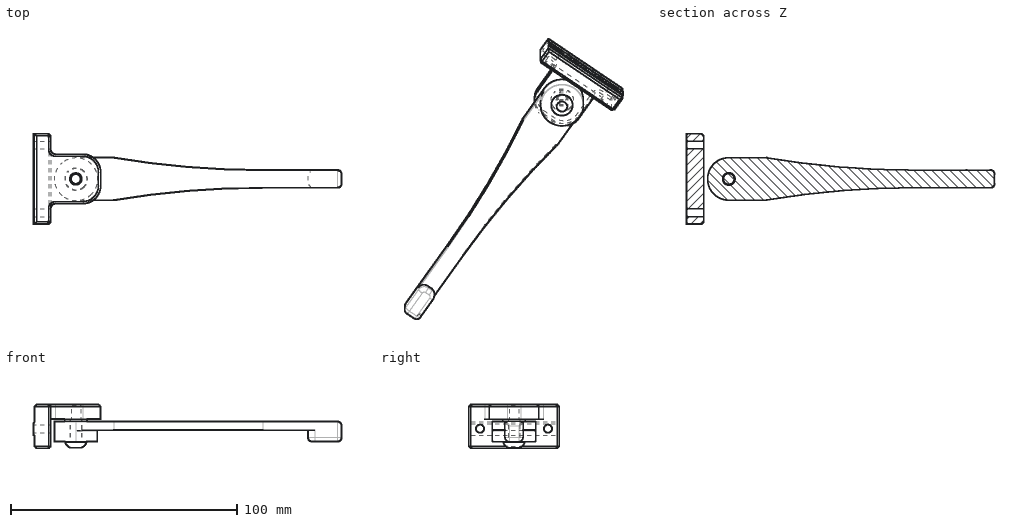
import cadquery as cq
import math


PLATE_BACK_X = -18.3
PLATE_FRONT_X = -11.0
PLATE_LENGTH = 40.0
PLATE_HEIGHT = 19.5
ARM_END_X = 11.0
ARM_WIDTH = 22.0
ARM_THICKNESS = 6.5
ARM_CORNER_RADIUS = 8.0
ARM_ROOT_RADIUS = 2.0
BRACKET_CHAMFER = 1.0
RIB_HEIGHT = 0.5
RIB_WIDTH = 6.0
RIB_SLOPE_WIDTH = 0.8
RIB_CENTRE_Z = -10.75
MOUNT_HOLE_DIAMETER = 3.5
MOUNT_HOLE_SPACING = 30.0

SHANK_DIAMETER = 5.0
THREAD_DIAMETER = 4.2
SCREW_HEAD_DIAMETER = 9.5
SCREW_HEAD_FLAT_DIAMETER = 4.6
SCREW_HEAD_HEIGHT = 2.75
SCREW_HEAD_RIM_HEIGHT = 0.3
SCREW_HEAD_BULGE = 0.4
THREAD_RIM_DIAMETER = 5.3
WASHER_DIAMETER = 10.0
CLEARANCE_BORE = 5.3
WASHER_THICKNESS = 1.0

BOSS_DIAMETER = 19.0
BOSS_HEIGHT = 9.0
BLADE_THICKNESS = 4.0
TAPER_START_X = 16.75
TAPER_END_X = 82.5
TIP_X = 117.5
TIP_WIDTH = 8.0
TIP_RADIUS = 2.0
LEVER_EDGE_RADIUS = 0.2
FOOT_LENGTH = 15.0
FOOT_BACK_RADIUS = 3.0
FOOT_BOTTOM_RADIUS = 2.0

PICK_MARGIN = 0.1

THREAD_RIM_DEPTH = (THREAD_RIM_DIAMETER - THREAD_DIAMETER) / 2
LEVER_TOP_Z = -ARM_THICKNESS - WASHER_THICKNESS
BLADE_BOTTOM_Z = LEVER_TOP_Z - BLADE_THICKNESS
LEVER_BOTTOM_Z = LEVER_TOP_Z - BOSS_HEIGHT


def make_bracket():
    plate_depth = PLATE_FRONT_X - PLATE_BACK_X
    plate = (
        cq.Workplane("XY")
        .box(plate_depth, PLATE_LENGTH, PLATE_HEIGHT, centered=(False, True, False))
        .translate((PLATE_BACK_X, 0, -PLATE_HEIGHT))
    )
    arm_length = ARM_END_X - PLATE_BACK_X
    arm = (
        cq.Workplane("XY")
        .box(arm_length, ARM_WIDTH, ARM_THICKNESS, centered=(False, True, False))
        .translate((PLATE_BACK_X, 0, -ARM_THICKNESS))
        .edges("|Z and >X")
        .fillet(ARM_CORNER_RADIUS)
    )
    body = plate.union(arm)

    half_arm = ARM_WIDTH / 2
    near_roots = cq.selectors.BoxSelector(
        (PLATE_FRONT_X - PICK_MARGIN, -half_arm - PICK_MARGIN, -ARM_THICKNESS),
        (PLATE_FRONT_X + PICK_MARGIN, half_arm + PICK_MARGIN, 0),
    )
    body = body.edges("|Z").edges(near_roots).fillet(ARM_ROOT_RADIUS)

    half_length = PLATE_LENGTH / 2
    for end in (-1, 1):
        corner_y = end * half_length
        near_front_corner = cq.selectors.BoxSelector(
            (PLATE_FRONT_X - PICK_MARGIN, corner_y - PICK_MARGIN, -PLATE_HEIGHT),
            (PLATE_FRONT_X + PICK_MARGIN, corner_y + PICK_MARGIN, 0),
        )
        body = body.edges("|Z").edges(near_front_corner).chamfer(BRACKET_CHAMFER)
    body = body.faces(">Z or <Z").edges().chamfer(BRACKET_CHAMFER)

    rib_top = RIB_CENTRE_Z + RIB_WIDTH / 2
    rib_bottom = RIB_CENTRE_Z - RIB_WIDTH / 2
    rib_back_x = PLATE_BACK_X - RIB_HEIGHT
    rib = (
        cq.Workplane("XZ")
        .moveTo(PLATE_BACK_X, rib_top)
        .lineTo(rib_back_x, rib_top - RIB_SLOPE_WIDTH)
        .lineTo(rib_back_x, rib_bottom)
        .lineTo(PLATE_BACK_X, rib_bottom)
        .close()
        .extrude(PLATE_LENGTH / 2, both=True)
    )
    body = body.union(rib)

    mount_holes = (
        cq.Workplane("YZ", origin=(rib_back_x, 0, RIB_CENTRE_Z))
        .pushPoints([(side * MOUNT_HOLE_SPACING / 2, 0) for side in (-1, 1)])
        .circle(MOUNT_HOLE_DIAMETER / 2)
        .extrude(plate_depth + RIB_HEIGHT)
    )

    thread_hole = cq.Workplane("XY").circle(THREAD_DIAMETER / 2).extrude(-ARM_THICKNESS)
    thread_rim = cq.Workplane(
        cq.Solid.makeCone(
            THREAD_DIAMETER / 2,
            THREAD_RIM_DIAMETER / 2,
            THREAD_RIM_DEPTH,
            pnt=cq.Vector(0, 0, -THREAD_RIM_DEPTH),
        )
    )
    return body.cut(mount_holes).cut(thread_hole).cut(thread_rim)


def make_lever():
    half_tip = TIP_WIDTH / 2
    half_root = BOSS_DIAMETER / 2
    foot_back_x = TIP_X - FOOT_LENGTH
    foot_depth = BOSS_HEIGHT - BLADE_THICKNESS

    taper_length = TAPER_END_X - TAPER_START_X
    taper_drop = half_root - half_tip
    taper_radius = (taper_length**2 + taper_drop**2) / (2 * taper_drop)
    taper_middle_x = (TAPER_START_X + TAPER_END_X) / 2
    taper_middle_y = half_tip + taper_radius - math.sqrt(taper_radius**2 - (taper_length / 2) ** 2)
    body = (
        cq.Workplane("XY", origin=(0, 0, LEVER_TOP_Z))
        .moveTo(0, half_root)
        .lineTo(TAPER_START_X, half_root)
        .threePointArc((taper_middle_x, taper_middle_y), (TAPER_END_X, half_tip))
        .lineTo(TIP_X, half_tip)
        .lineTo(TIP_X, -half_tip)
        .lineTo(TAPER_END_X, -half_tip)
        .threePointArc((taper_middle_x, -taper_middle_y), (TAPER_START_X, -half_root))
        .lineTo(0, -half_root)
        .threePointArc((-half_root, 0), (0, half_root))
        .close()
        .extrude(-BOSS_HEIGHT)
    )

    boss = cq.Workplane("XY", origin=(0, 0, BLADE_BOTTOM_Z)).circle(half_root).extrude(-foot_depth)
    foot = (
        cq.Workplane("XY")
        .box(FOOT_LENGTH, TIP_WIDTH, foot_depth, centered=(False, True, False))
        .translate((foot_back_x, 0, LEVER_BOTTOM_Z))
        .edges("|Z and <X")
        .fillet(FOOT_BACK_RADIUS)
    )
    space = (
        cq.Workplane("XY")
        .box(foot_back_x + FOOT_BACK_RADIUS, BOSS_DIAMETER, foot_depth, centered=(False, True, False))
        .translate((0, 0, LEVER_BOTTOM_Z))
        .cut(boss)
        .cut(foot)
    )
    body = body.cut(space)

    body = body.faces(">Z").edges("not >X").fillet(LEVER_EDGE_RADIUS)
    near_boss_bottom = cq.selectors.BoxSelector(
        (-half_root - PICK_MARGIN, -half_root - PICK_MARGIN, LEVER_BOTTOM_Z - PICK_MARGIN),
        (half_root + PICK_MARGIN, half_root + PICK_MARGIN, LEVER_BOTTOM_Z + PICK_MARGIN),
    )
    body = body.edges(near_boss_bottom).fillet(LEVER_EDGE_RADIUS)
    near_blade_bottom = cq.selectors.BoxSelector(
        (0, -half_root - PICK_MARGIN, BLADE_BOTTOM_Z - PICK_MARGIN),
        (foot_back_x, half_root + PICK_MARGIN, BLADE_BOTTOM_Z + PICK_MARGIN),
    )
    body = body.edges(near_blade_bottom).fillet(LEVER_EDGE_RADIUS)

    body = body.edges("|Z and >X").fillet(TIP_RADIUS)
    near_foot_bottom = cq.selectors.BoxSelector(
        (foot_back_x - PICK_MARGIN, -half_tip - PICK_MARGIN, LEVER_BOTTOM_Z - PICK_MARGIN),
        (TIP_X + PICK_MARGIN, half_tip + PICK_MARGIN, LEVER_BOTTOM_Z + PICK_MARGIN),
    )
    body = body.edges(near_foot_bottom).fillet(FOOT_BOTTOM_RADIUS)
    end_waste = (
        cq.Workplane("XZ", origin=(TIP_X, 0, LEVER_TOP_Z))
        .moveTo(-TIP_RADIUS, 0)
        .radiusArc((0, -TIP_RADIUS), TIP_RADIUS)
        .lineTo(0, 0)
        .close()
        .extrude(half_tip, both=True)
    )
    body = body.cut(end_waste)

    hole = cq.Workplane("XY", origin=(0, 0, LEVER_TOP_Z)).circle(CLEARANCE_BORE / 2).extrude(-BOSS_HEIGHT)
    return body.cut(hole)


def make_washer():
    return (
        cq.Workplane("XY", origin=(0, 0, LEVER_TOP_Z))
        .circle(WASHER_DIAMETER / 2)
        .circle(CLEARANCE_BORE / 2)
        .extrude(WASHER_THICKNESS)
    )


def make_screw():
    head_bottom_z = LEVER_BOTTOM_Z - SCREW_HEAD_HEIGHT
    thread_radius = THREAD_DIAMETER / 2
    shank_radius = SHANK_DIAMETER / 2
    head_radius = SCREW_HEAD_DIAMETER / 2
    flat_radius = SCREW_HEAD_FLAT_DIAMETER / 2
    rim_bottom_z = LEVER_BOTTOM_Z - SCREW_HEAD_RIM_HEIGHT
    bulge = SCREW_HEAD_BULGE * math.sin(math.radians(45))
    middle_radius = (head_radius + flat_radius) / 2 + bulge
    middle_z = (rim_bottom_z + head_bottom_z) / 2 - bulge
    return (
        cq.Workplane("XZ")
        .moveTo(0, -THREAD_RIM_DEPTH)
        .lineTo(thread_radius, -THREAD_RIM_DEPTH)
        .lineTo(thread_radius, -ARM_THICKNESS)
        .lineTo(shank_radius, -ARM_THICKNESS)
        .lineTo(shank_radius, LEVER_BOTTOM_Z)
        .lineTo(head_radius, LEVER_BOTTOM_Z)
        .lineTo(head_radius, rim_bottom_z)
        .threePointArc((middle_radius, middle_z), (flat_radius, head_bottom_z))
        .lineTo(0, head_bottom_z)
        .close()
        .revolve(axisStart=(0, 0), axisEnd=(0, 1))
    )


bracket = make_bracket()
lever = make_lever()
washer = make_washer()
screw = make_screw()
result = cq.Compound.makeCompound([bracket.val(), lever.val(), washer.val(), screw.val()])